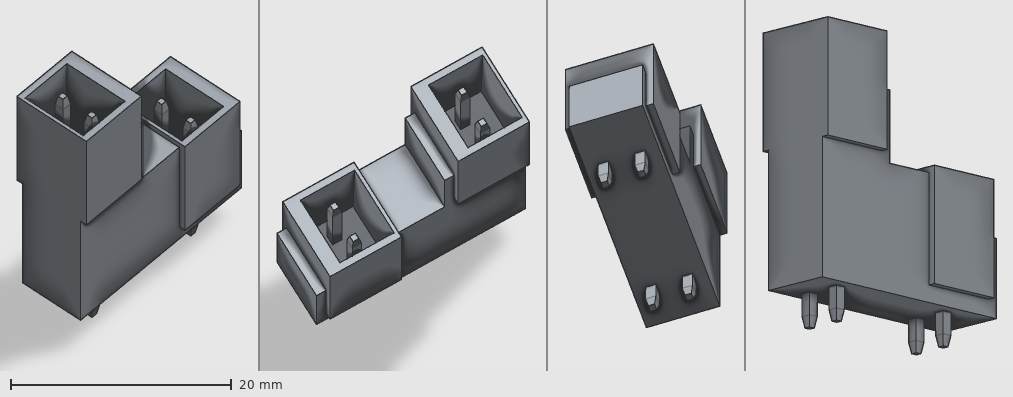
import cadquery as cq

TIER_PITCH = 13.48
TIER_RISE = 11.48

SHROUD_WIDTH = 8.4
SHROUD_DEPTH = 7.5
SHROUD_HEIGHT = 11.07
LOW_SHROUD_TOP = 12.7

BASE_WIDTH = 7.01
BACK_LEDGE_DEPTH = 1.01
LOW_LEDGE_HEIGHT = 7.5
DECK_HEIGHT = 12.15

CAVITY_WIDTH = BASE_WIDTH
CAVITY_MOUTH = 5.7
CAVITY_FRONT_WALL = 0.35
CAVITY_LEAN = 0.16
CAVITY_DEPTH = 9.2

PIN_SIZE = 1.0
PIN_TIP_SIZE = 0.6
PIN_TIP_LENGTH = 1.07
PIN_SPACING = 3.5
PIN_SETBACK = 3.5
PIN_PROTRUSION = 3.2
PIN_RECESS = 1.0

TIERS = [
    (0, LOW_SHROUD_TOP + TIER_RISE),
    (TIER_PITCH, LOW_SHROUD_TOP),
]


def make_base():
    upper_back = SHROUD_DEPTH + BACK_LEDGE_DEPTH
    high_ledge = LOW_LEDGE_HEIGHT + TIER_RISE
    back = TIER_PITCH + upper_back
    profile = [
        (0, 0),
        (back, 0),
        (back, LOW_LEDGE_HEIGHT),
        (TIER_PITCH, LOW_LEDGE_HEIGHT),
        (TIER_PITCH, DECK_HEIGHT),
        (upper_back, DECK_HEIGHT),
        (upper_back, high_ledge),
        (0, high_ledge),
    ]
    return cq.Workplane("YZ").polyline(profile).close().extrude(BASE_WIDTH / 2, both=True)


def make_shroud(front, top):
    return (
        cq.Workplane("XY", origin=(0, front, top - SHROUD_HEIGHT))
        .box(SHROUD_WIDTH, SHROUD_DEPTH, SHROUD_HEIGHT, centered=(True, False, False))
    )


def make_cavity(front, top):
    mouth_front = front + CAVITY_FRONT_WALL
    mouth_back = mouth_front + CAVITY_MOUTH
    floor = top - CAVITY_DEPTH
    profile = [
        (mouth_front, top),
        (mouth_back, top),
        (mouth_back - CAVITY_LEAN, floor),
        (mouth_front + CAVITY_LEAN, floor),
    ]
    return cq.Workplane("YZ").polyline(profile).close().extrude(CAVITY_WIDTH / 2, both=True)


def make_tip(x, y, z_root, z_end):
    return (
        cq.Workplane("XY", origin=(x, y, z_root))
        .rect(PIN_SIZE, PIN_SIZE)
        .workplane(offset=z_end - z_root)
        .rect(PIN_TIP_SIZE, PIN_TIP_SIZE)
        .loft(ruled=True)
    )


def make_pin(x, front, top):
    y = front + PIN_SETBACK
    z_low = -PIN_PROTRUSION
    z_high = top - PIN_RECESS
    bar_low = z_low + PIN_TIP_LENGTH
    bar_high = z_high - PIN_TIP_LENGTH
    bar = cq.Workplane("XY", origin=(x, y, bar_low)).rect(PIN_SIZE, PIN_SIZE).extrude(bar_high - bar_low)
    return bar.union(make_tip(x, y, bar_low, z_low)).union(make_tip(x, y, bar_high, z_high))


def make_housing(pins):
    housing = make_base()
    for front, top in TIERS:
        housing = housing.union(make_shroud(front, top))
    for front, top in TIERS:
        housing = housing.cut(make_cavity(front, top))
    for pin in pins:
        housing = housing.cut(pin)
    return housing


pins = [
    make_pin(x, front, top)
    for front, top in TIERS
    for x in (-PIN_SPACING / 2, PIN_SPACING / 2)
]
housing = make_housing(pins)

result = cq.Compound.makeCompound([housing.val(), *[pin.val() for pin in pins]])